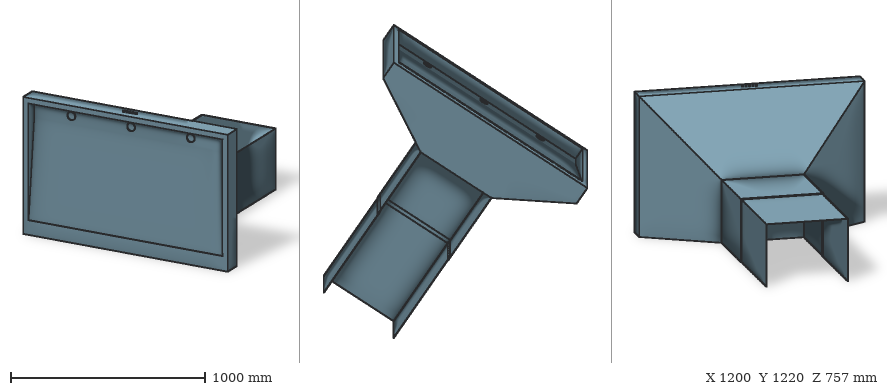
import cadquery as cq

canopy_width = 1200.0
canopy_height = 750.0
slab_depth = 100.0
taper_end = 320.0

frame_margin = 30.0
sill_height = 80.0
light_panel_depth = 65.0
light_panel_height = 100.0
sill_step = 5.0

duct_width = 440.0
duct_height = 337.0
lower_duct_end = 720.0
overall_depth = 1220.0
duct_wall = 2.0
duct_overlap = 22.0
upper_duct_start = lower_duct_end - duct_overlap

light_count = 3
light_diameter = 45.0
light_spacing = 350.0
light_protrusion = 5.0

button_count = 5
button_diameter = 9.0
button_spacing = 18.0
button_height = 7.0

opening_width = canopy_width - 2 * frame_margin
opening_top = canopy_height - frame_margin
light_panel_bottom = opening_top - light_panel_height
light_height = opening_top - light_panel_height / 2


def block(width, y_start, y_end, height):
    """Box centred on X, standing on the base plane."""
    return (
        cq.Workplane("XY")
        .box(width, y_end - y_start, height, centered=(True, False, False))
        .translate((0, y_start, 0))
    )


def row_positions(count, spacing):
    """X positions of an evenly spaced row centred on the part."""
    return [(i - (count - 1) / 2) * spacing for i in range(count)]


def make_taper():
    return (
        cq.Workplane("XZ", origin=(0, slab_depth, 0))
        .center(0, canopy_height / 2)
        .rect(canopy_width, canopy_height)
        .workplane(offset=slab_depth - taper_end)
        .center(0, (duct_height - canopy_height) / 2)
        .rect(duct_width, duct_height)
        .loft(ruled=True)
    )


def make_opening():
    return (
        cq.Workplane("YZ", origin=(-opening_width / 2, 0, 0))
        .moveTo(0, sill_height)
        .lineTo(sill_step, sill_height)
        .lineTo(light_panel_depth, light_panel_bottom)
        .lineTo(light_panel_depth, opening_top)
        .lineTo(0, opening_top)
        .close()
        .extrude(opening_width)
    )


def make_light(x):
    return (
        cq.Workplane("XZ", origin=(x, light_panel_depth, light_height))
        .circle(light_diameter / 2)
        .extrude(light_protrusion)
    )


def make_button(x):
    return (
        cq.Workplane("XY", origin=(x, slab_depth / 2, canopy_height))
        .circle(button_diameter / 2)
        .extrude(button_height)
    )


def make_canopy():
    canopy = block(canopy_width, 0, slab_depth, canopy_height)
    canopy = canopy.union(make_taper())
    canopy = canopy.cut(make_opening())
    for x in row_positions(button_count, button_spacing):
        canopy = canopy.union(make_button(x))
    return canopy


def make_channel(width, height, y_start, y_end):
    """Thin-walled channel along Y with two sides and a top."""
    outside = block(width, y_start, y_end, height)
    inside = block(width - 2 * duct_wall, y_start, y_end, height - duct_wall)
    return outside.cut(inside)


def make_lower_duct():
    return make_channel(duct_width, duct_height, taper_end, lower_duct_end)


def make_upper_duct():
    width = duct_width - 2 * duct_wall
    height = duct_height - duct_wall
    return make_channel(width, height, upper_duct_start, overall_depth)


canopy = make_canopy()
lower_duct = make_lower_duct()
upper_duct = make_upper_duct()
lights = [make_light(x) for x in row_positions(light_count, light_spacing)]

result = cq.Compound.makeCompound(
    [canopy.val(), lower_duct.val(), upper_duct.val(), *[light.val() for light in lights]]
)